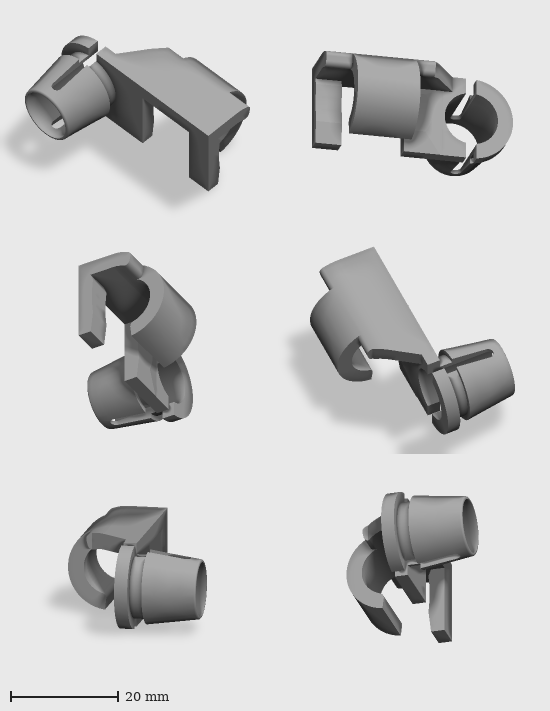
import cadquery as cq
import math

BORE_RADIUS = 5.1
NECK_RADIUS = 6.0
BARB_RADIUS = 7.0
TIP_RADIUS = 5.6
NECK_LENGTH = 2.5
SPIGOT_LENGTH = 12.5
TIP_ROUND = 0.4
SLOT_WIDTH = 2.0
SLOT_END = 10.5

COLLAR_RADIUS = 8.0
PLATE_THICKNESS = 2.5
PLATE_END = 30.0
PLATE_TOP = COLLAR_RADIUS
PLATE_BOTTOM = -math.sqrt(COLLAR_RADIUS**2 - (SLOT_WIDTH / 2) ** 2)

HOOK_RADIUS = COLLAR_RADIUS
HOOK_WALL = 3.0
HOOK_INNER_RADIUS = HOOK_RADIUS - HOOK_WALL
HOOK_CENTRE_Y = 7.5
HOOK_START = 13.0
HOOK_END = 25.0
HOOK_TIP_ANGLE = 173.0
ARM_OUTER_ANGLE = 28.8
ARM_INNER_ANGLE = 39.0
EDGE_ROUND = 1.0

SLANT_FOOT_X = 3.6
SLANT_HEAD_X = 9.0
SLANT_HEAD_Y = 10.1

PAD_START = 5.5
PAD_RAMP_END = 9.0
RIDGE_HEIGHT = 0.6
RIDGE_OFFSET = 3.75
VALLEY_HEIGHT = 0.35
PAD_EDGE_HEIGHT = 0.1


def bend_point(radius, angle):
    """Point (Y, Z) on a circle around the hook axis."""
    turn = math.radians(angle)
    return (HOOK_CENTRE_Y + radius * math.sin(turn), radius * math.cos(turn))


def bent_strip(x_start, x_end, outer_angle, inner_angle):
    """Straight strip from the plate front that bends around the hook axis."""
    return (
        cq.Workplane("YZ", origin=(x_start, 0, 0))
        .moveTo(0, HOOK_INNER_RADIUS)
        .lineTo(0, HOOK_RADIUS)
        .lineTo(HOOK_CENTRE_Y, HOOK_RADIUS)
        .threePointArc(bend_point(HOOK_RADIUS, outer_angle / 2), bend_point(HOOK_RADIUS, outer_angle))
        .lineTo(*bend_point(HOOK_INNER_RADIUS, inner_angle))
        .threePointArc(
            bend_point(HOOK_INNER_RADIUS, inner_angle / 2),
            (HOOK_CENTRE_Y, HOOK_INNER_RADIUS),
        )
        .close()
        .extrude(x_end - x_start)
    )


def round_end(strip, x_start, x_end, radius, angle):
    """Round the lengthwise edge of a strip that passes through a bend point."""
    y, z = bend_point(radius, angle)
    nearest = cq.selectors.NearestToPointSelector(((x_start + x_end) / 2, y, z))
    return strip.edges("|X").edges(nearest).fillet(EDGE_ROUND)


def make_spigot():
    """Collar, neck and tapered barb as one turned body."""
    profile = (
        cq.Workplane("XY")
        .moveTo(0, PLATE_THICKNESS)
        .lineTo(COLLAR_RADIUS, PLATE_THICKNESS)
        .lineTo(COLLAR_RADIUS, 0)
        .lineTo(NECK_RADIUS, 0)
        .lineTo(NECK_RADIUS, -NECK_LENGTH)
        .lineTo(BARB_RADIUS, -NECK_LENGTH)
        .lineTo(TIP_RADIUS, -SPIGOT_LENGTH)
        .lineTo(0, -SPIGOT_LENGTH)
        .close()
    )
    return profile.revolve(360, (0, 0, 0), (0, 1, 0)).faces("<Y").edges().fillet(TIP_ROUND)


def make_plate():
    return cq.Workplane("XY", origin=(0, 0, PLATE_BOTTOM)).box(
        PLATE_END, PLATE_THICKNESS, PLATE_TOP - PLATE_BOTTOM, centered=False
    )


def make_arm():
    """Short bent strip along the plate, with its side slanted towards the collar."""
    arm = bent_strip(0, PLATE_END, ARM_OUTER_ANGLE, ARM_INNER_ANGLE)
    arm = round_end(arm, 0, PLATE_END, HOOK_RADIUS, ARM_OUTER_ANGLE)
    arm = round_end(arm, 0, PLATE_END, HOOK_INNER_RADIUS, ARM_INNER_ANGLE)
    beyond_end = HOOK_CENTRE_Y + HOOK_RADIUS
    outline = (
        cq.Workplane("XY")
        .moveTo(SLANT_FOOT_X, 0)
        .lineTo(SLANT_FOOT_X, PLATE_THICKNESS)
        .lineTo(SLANT_HEAD_X, SLANT_HEAD_Y)
        .lineTo(SLANT_HEAD_X, beyond_end)
        .lineTo(PLATE_END, beyond_end)
        .lineTo(PLATE_END, 0)
        .close()
        .extrude(PLATE_TOP)
    )
    return arm.intersect(outline)


def make_hook():
    hook = bent_strip(HOOK_START, HOOK_END, HOOK_TIP_ANGLE, HOOK_TIP_ANGLE)
    return round_end(hook, HOOK_START, HOOK_END, HOOK_INNER_RADIUS, HOOK_TIP_ANGLE)


def make_pad():
    """Ridged pad behind the plate, with a flat ramp on its end next to the collar."""
    back = PLATE_THICKNESS
    ridge_y = back + RIDGE_HEIGHT
    edge_y = back + PAD_EDGE_HEIGHT
    pad = (
        cq.Workplane("YZ", origin=(PAD_START, 0, 0))
        .moveTo(0, PLATE_BOTTOM)
        .lineTo(edge_y, PLATE_BOTTOM)
        .lineTo(ridge_y, -RIDGE_OFFSET)
        .threePointArc((back + VALLEY_HEIGHT, 0), (ridge_y, RIDGE_OFFSET))
        .lineTo(edge_y, HOOK_INNER_RADIUS)
        .lineTo(0, HOOK_INNER_RADIUS)
        .close()
        .extrude(PLATE_END - PAD_START)
    )
    outline = (
        cq.Workplane("XY")
        .moveTo(PAD_START, 0)
        .lineTo(PAD_START, back)
        .lineTo(PAD_RAMP_END, ridge_y)
        .lineTo(PLATE_END, ridge_y)
        .lineTo(PLATE_END, 0)
        .close()
        .extrude(PLATE_TOP, both=True)
    )
    return pad.intersect(outline)


def make_window():
    """Opening through the plate and pad below the arm, in front of the hook."""
    depth = PLATE_THICKNESS + RIDGE_HEIGHT
    height = HOOK_INNER_RADIUS - PLATE_BOTTOM
    return cq.Workplane("XY", origin=(HOOK_START, 0, PLATE_BOTTOM)).box(
        HOOK_END - HOOK_START, depth, height, centered=False
    )


def make_bore():
    length = SPIGOT_LENGTH + PLATE_THICKNESS + RIDGE_HEIGHT
    return cq.Workplane("XZ", origin=(0, -SPIGOT_LENGTH, 0)).circle(BORE_RADIUS).extrude(-length)


def make_slot():
    """Round-ended slot that splits the collar and barb at top and bottom."""
    half = SLOT_WIDTH / 2
    return (
        cq.Workplane("XY")
        .moveTo(-half, PLATE_THICKNESS)
        .lineTo(-half, half - SLOT_END)
        .threePointArc((0, -SLOT_END), (half, half - SLOT_END))
        .lineTo(half, PLATE_THICKNESS)
        .close()
        .extrude(COLLAR_RADIUS, both=True)
    )


body = make_spigot().union(make_plate()).union(make_pad()).cut(make_window())
body = body.union(make_arm()).union(make_hook())
result = body.cut(make_bore()).cut(make_slot())